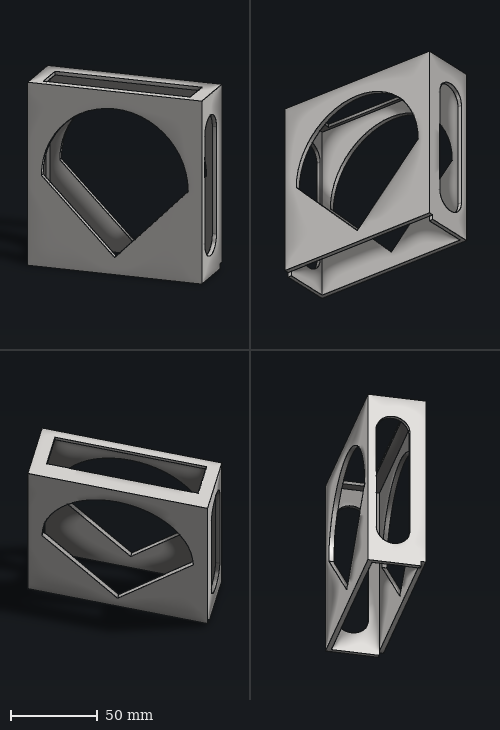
import cadquery as cq

width = 107.0
depth = 34.5
height = 111.0

face_wall = 3.0
side_wall = 2.5
top_wall = 2.2
back_bottom_gap = 3.0

window_radius = 45.0
window_center_z = height / 2

top_opening_length = 90.0
top_opening_shift = -0.4

opening_width = 20.0
opening_center_y = 15.0
side_slot_length = 84.9


def box(x_size, y_size, z_size, x_center, y_min, z_min):
    """Box centred on x_center, rising from y_min and z_min."""
    return cq.Workplane("XY").box(x_size, y_size, z_size, (True, False, False)).translate((x_center, y_min, z_min))


def hollow_body():
    """Five-sided box, open at the bottom, with a shortened back plate."""
    body = box(width, depth, height, 0, 0, 0)
    cavity = box(width - 2 * side_wall, depth - 2 * face_wall, height - top_wall, 0, face_wall, 0)
    back_notch = box(width, face_wall, back_bottom_gap, 0, depth - face_wall, 0)
    return body.cut(cavity).cut(back_notch)


def window():
    """Cutter for the pointed round window through both large faces."""
    return (
        cq.Workplane("XZ")
        .moveTo(-window_radius, window_center_z)
        .threePointArc((0, window_center_z + window_radius), (window_radius, window_center_z))
        .lineTo(0, window_center_z - window_radius)
        .close()
        .extrude(-depth)
    )


def top_opening():
    """Cutter for the rectangular opening in the top plate."""
    y_min = opening_center_y - opening_width / 2
    return box(top_opening_length, opening_width, top_wall, top_opening_shift, y_min, height - top_wall)


def side_slots():
    """Cutter for the upright round-ended slots through both side plates."""
    return (
        cq.Workplane("YZ", origin=(-width / 2, 0, 0))
        .center(opening_center_y, height / 2)
        .slot2D(side_slot_length, opening_width, 90)
        .extrude(width)
    )


result = hollow_body().cut(window()).cut(top_opening()).cut(side_slots())